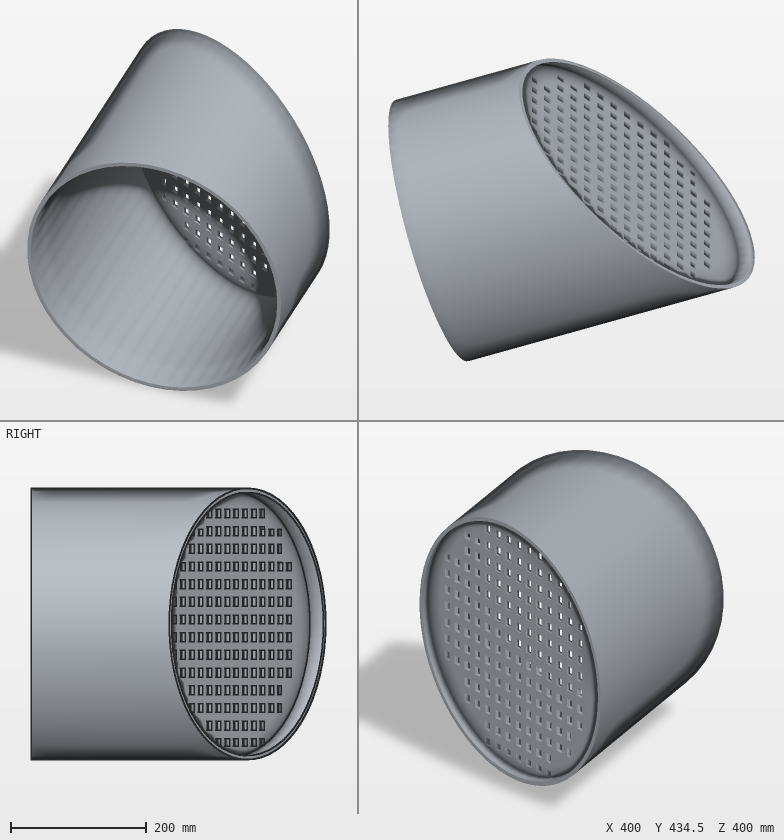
import cadquery as cq
import math

OUTER_DIAMETER = 400.0
BORE_DIAMETER = 388.0
TUBE_LENGTH = 434.5
SLANT_ANGLE = 30.0

PLATE_THICKNESS = 6.0
PLATE_SETBACK = 20.0
GROOVE_DIAMETER = (OUTER_DIAMETER + BORE_DIAMETER) / 2

HOLE_SIDE = 13.0
HOLE_PITCH = 2 * HOLE_SIDE
WINDOW_LONG = 360.0
WINDOW_SHORT = WINDOW_LONG / 2
WINDOW_SQUARE = 279.7
WINDOWS = [
    (WINDOW_LONG, WINDOW_SHORT),
    (WINDOW_SQUARE, WINDOW_SQUARE),
    (WINDOW_SHORT, WINDOW_LONG),
]

CUTTER_SIZE = 2 * TUBE_LENGTH
SLANT_MIDDLE_Y = TUBE_LENGTH - OUTER_DIAMETER / 2 * math.tan(math.radians(SLANT_ANGLE))


def slanted_workplane(axis_y):
    """Workplane parallel to the slanted end, through the tube axis at axis_y, facing the square end."""
    slope = cq.Plane(origin=(0, axis_y, 0), xDir=(1, 0, 0), normal=(0, -1, 0))
    return cq.Workplane(slope.rotated((0, -SLANT_ANGLE, 0)))


def cylinder(diameter):
    """Cylinder along +Y that starts at the square end and reaches the tip of the slanted end."""
    return cq.Workplane("XZ").circle(diameter / 2).extrude(-TUBE_LENGTH)


def plate_workplane():
    """Outer face of the plate; extrusions from it run through the plate thickness."""
    return slanted_workplane(SLANT_MIDDLE_Y - PLATE_SETBACK)


def make_plate_blank():
    """Imperforate plate, which also has the shape of its groove."""
    slab = plate_workplane().rect(CUTTER_SIZE, CUTTER_SIZE).extrude(PLATE_THICKNESS)
    return cylinder(GROOVE_DIAMETER).intersect(slab)


def make_tube():
    beyond_slant = slanted_workplane(SLANT_MIDDLE_Y).rect(CUTTER_SIZE, CUTTER_SIZE).extrude(-CUTTER_SIZE)
    pipe = cylinder(OUTER_DIAMETER).cut(cylinder(BORE_DIAMETER)).cut(beyond_slant)
    return pipe.cut(make_plate_blank())


def make_perforations():
    """Square prisms normal to the plate, trimmed by the joint outline of the windows."""
    reach = math.ceil(WINDOW_LONG / 2 / HOLE_PITCH)
    steps = range(-reach, reach + 1)
    centres = [
        (column * HOLE_PITCH - HOLE_SIDE / 2, row * HOLE_PITCH + HOLE_SIDE / 2)
        for column in steps
        for row in steps
    ]
    grid = plate_workplane().pushPoints(centres).rect(HOLE_SIDE, HOLE_SIDE).extrude(PLATE_THICKNESS)
    outline = cq.Workplane()
    for width, height in WINDOWS:
        window = plate_workplane().rect(width, height).extrude(PLATE_THICKNESS)
        outline = outline.union(window)
    return grid.intersect(outline)


def make_plate():
    return make_plate_blank().cut(make_perforations())


tube = make_tube()
plate = make_plate()

result = cq.Compound.makeCompound([tube.val(), plate.val()])